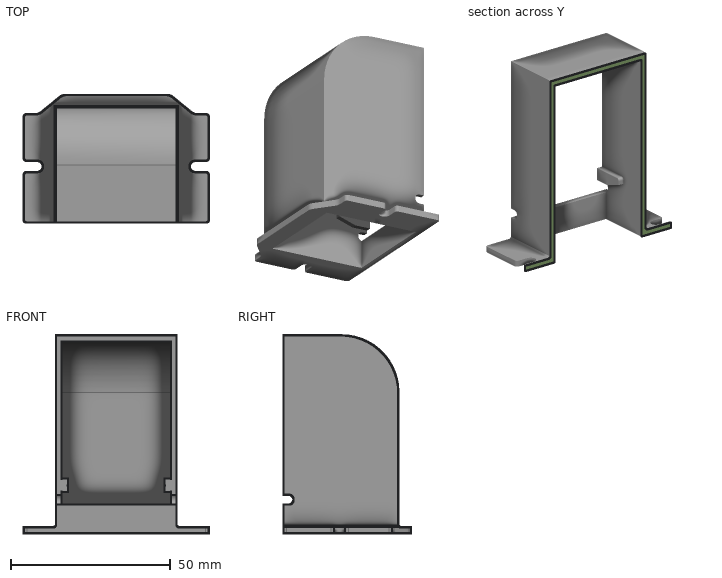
import cadquery as cq

plate_width = 58.0
plate_depth = 40.0
plate_thickness = 2.0
ear_depth = 34.0
tab_root_half_width = 24.2
tab_tip_half_width = 16.8
tab_blend_radius = 3.0
corner_radius = 1.0
screw_slot_width = 3.5
screw_slot_y = 17.6
screw_slot_length = 6.0

hood_width = 37.75
hood_depth = 36.0
hood_height = 62.0
hood_radius = 18.0
side_wall = 1.8
shell_wall = 2.0
foot_chamfer = 0.5
lip_height = 9.05

notch_height = 3.05
notch_depth = 3.15

rail_width = 1.9
rail_top = 17.1
rail_height = 4.1
rail_length = 11.05
rail_end_height = 2.2
rail_flat_length = 5.3
rail_end_radius = 0.9

cavity_width = hood_width - 2 * side_wall
plate_half_width = plate_width / 2


def make_plate():
    right_side = [
        (plate_half_width, 0),
        (plate_half_width, ear_depth),
        (tab_root_half_width, ear_depth),
        (tab_tip_half_width, plate_depth),
    ]
    left_side = [(-x, y) for x, y in reversed(right_side)]
    plate = cq.Workplane("XY").polyline(right_side + left_side).close().extrude(plate_thickness)

    for side in (-1, 1):
        for x, y in right_side[2:]:
            corner = cq.NearestToPointSelector((side * x, y, plate_thickness / 2))
            plate = plate.edges("|Z").edges(corner).fillet(tab_blend_radius)

    for side in (-1, 1):
        cutter = (
            cq.Workplane("XY")
            .center(side * plate_half_width, screw_slot_y)
            .slot2D(2 * screw_slot_length, screw_slot_width)
            .extrude(plate_thickness)
        )
        plate = plate.cut(cutter)
    return plate.edges("|Z and (<X or >X)").fillet(corner_radius)


def hood_block(width, front, rear, bottom, top, radius):
    """Box across the given width with its top rear edge rounded."""
    return (
        cq.Workplane("YZ")
        .moveTo(front, bottom)
        .lineTo(rear, bottom)
        .lineTo(rear, top - radius)
        .radiusArc((rear - radius, top), -radius)
        .lineTo(front, top)
        .close()
        .extrude(width / 2, both=True)
    )


def make_foot():
    """Chamfered skirt joining the sides and rear of the hood to the plate."""
    skirt = (
        cq.Workplane("XY")
        .workplane(offset=plate_thickness)
        .rect(hood_width + 2 * foot_chamfer, 2 * (hood_depth + foot_chamfer))
        .workplane(offset=foot_chamfer)
        .rect(hood_width, 2 * hood_depth)
        .loft(ruled=True)
    )
    behind_front = cq.Workplane("XY").box(
        plate_width, plate_depth, hood_height, centered=(True, False, False)
    )
    return skirt.intersect(behind_front)


def make_cavity():
    cavity = hood_block(
        cavity_width, 0, hood_depth - shell_wall, 0, hood_height - shell_wall, hood_radius - shell_wall
    )
    lip = cq.Workplane("XY").box(
        cavity_width, shell_wall, lip_height, centered=(True, False, False)
    )
    return cavity.cut(lip)


def make_notches():
    """One round-ended slot through both side walls, open at the front."""
    return (
        cq.Workplane("YZ")
        .center(0, lip_height + notch_height / 2)
        .slot2D(2 * notch_depth, notch_height)
        .extrude(hood_width / 2, both=True)
    )


def make_rail(side):
    rail = (
        cq.Workplane("YZ")
        .workplane(offset=side * cavity_width / 2)
        .moveTo(0, rail_top)
        .lineTo(rail_length, rail_top)
        .lineTo(rail_length, rail_top - rail_end_height)
        .lineTo(rail_flat_length, rail_top - rail_height)
        .lineTo(0, rail_top - rail_height)
        .close()
        .extrude(-side * rail_width)
    )
    top_rear_edge = cq.NearestToPointSelector((side * cavity_width / 2, rail_length, rail_top))
    return rail.edges("|X").edges(top_rear_edge).fillet(rail_end_radius)


hood = hood_block(hood_width, 0, hood_depth, 0, hood_height, hood_radius)
result = make_plate().union(hood).union(make_foot())
result = result.cut(make_cavity()).cut(make_notches())
for side in (-1, 1):
    result = result.union(make_rail(side))